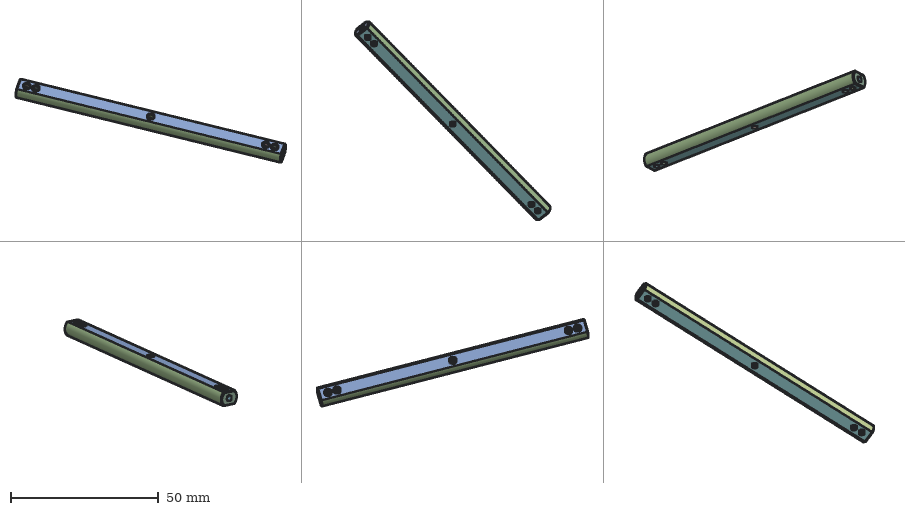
import cadquery as cq

length = 93.75
rod_diameter = 6.6
height = 5.0
end_chamfer = 0.3

bore_diameter = 2.0
countersink_diameter = 2.5
countersink_angle = 90.0
outer_hole_inset = 3.1
pair_pitch = 3.2


def make_rod():
    """Round bar along X, cut to flats above and below, with chamfered ends."""
    bar = cq.Workplane("YZ").circle(rod_diameter / 2).extrude(length / 2, both=True)
    flats_envelope = cq.Workplane("XY").box(length, rod_diameter, height)
    return bar.intersect(flats_envelope).faces("<X or >X").chamfer(end_chamfer)


def cut_axial_bore(body):
    """Bore the rod from end to end along its axis."""
    bore = cq.Workplane("YZ").circle(bore_diameter / 2).extrude(length / 2, both=True)
    return body.cut(bore)


def cut_cross_holes(body):
    """Vertical through holes, a pair near each end and one in the middle, countersunk on the top flat."""
    outer_x = length / 2 - outer_hole_inset
    inner_x = outer_x - pair_pitch
    centers = [(x, 0) for x in (-outer_x, -inner_x, 0, inner_x, outer_x)]
    return (
        body.faces(">Z")
        .workplane(origin=(0, 0, 0))
        .pushPoints(centers)
        .cskHole(bore_diameter, countersink_diameter, countersink_angle)
    )


result = cut_cross_holes(cut_axial_bore(make_rod()))